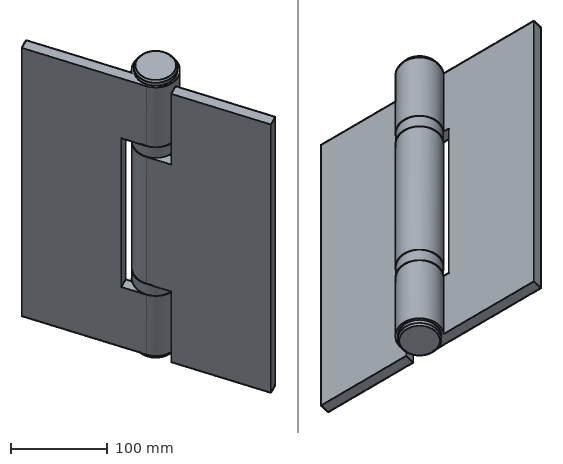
import cadquery as cq

hinge_width = 280.0
leaf_height = 400.0
leaf_thickness = 12.0
barrel_diameter = 50.0
pin_length = 414.0
pin_diameter = 45.0
pin_chamfer_height = 2.5
pin_chamfer_depth = 1.5
washer_thickness = 16.0
washer_diameter = 49.3
middle_barrel_height = 189.0
side_gap = 3.0

barrel_radius = barrel_diameter / 2
notch_edge = barrel_radius + side_gap
leaf_front = -barrel_radius
washer_center = (middle_barrel_height + washer_thickness) / 2
notch_height = middle_barrel_height + 2 * washer_thickness
outer_barrel_height = (leaf_height - notch_height) / 2
outer_barrel_center = (notch_height + outer_barrel_height) / 2


def cylinder(diameter, height, center_z):
    """Cylinder on the pin axis."""
    return cq.Workplane("XY").cylinder(height, diameter / 2).translate((0, 0, center_z))


def plate(x_start, x_end, height, center_z):
    """Flat piece of leaf lying against the front of the barrels."""
    return (
        cq.Workplane("XY")
        .box(x_end - x_start, leaf_thickness, height, centered=(False, False, True))
        .translate((x_start, leaf_front, center_z))
    )


def knuckle(side, height, center_z):
    """Barrel and the tangent plate that joins it to the leaf on side -1 (left) or +1 (right)."""
    x_start, x_end = sorted((0, side * notch_edge))
    tangent_plate = plate(x_start, x_end, height, center_z)
    return cylinder(barrel_diameter, height, center_z).union(tangent_plate)


def make_left_leaf():
    """Leaf with one knuckle at each end of the pin."""
    leaf = plate(-hinge_width / 2, -notch_edge, leaf_height, 0)
    for end in (-1, 1):
        leaf = leaf.union(knuckle(-1, outer_barrel_height, end * outer_barrel_center))
    return leaf.cut(cylinder(pin_diameter, leaf_height, 0))


def make_right_leaf():
    """Leaf with a single knuckle in the middle."""
    leaf = plate(notch_edge, hinge_width / 2, leaf_height, 0)
    leaf = leaf.union(knuckle(1, middle_barrel_height, 0))
    return leaf.cut(cylinder(pin_diameter, leaf_height, 0))


def make_pin():
    """Straight pin with chamfered ends."""
    radius = pin_diameter / 2
    end_radius = radius - pin_chamfer_depth
    half_length = pin_length / 2
    shoulder = half_length - pin_chamfer_height
    half_section = [
        (0, -half_length),
        (end_radius, -half_length),
        (radius, -shoulder),
        (radius, shoulder),
        (end_radius, half_length),
        (0, half_length),
    ]
    return cq.Workplane("XZ").polyline(half_section).close().revolve(360, (0, 0, 0), (0, 1, 0))


def make_washer(center_z):
    """Spacer ring between two neighbouring knuckles."""
    ring = cylinder(washer_diameter, washer_thickness, center_z)
    return ring.cut(cylinder(pin_diameter, washer_thickness, center_z))


left_leaf = make_left_leaf()
right_leaf = make_right_leaf()
pin = make_pin()
washers = [make_washer(end * washer_center).val() for end in (-1, 1)]

result = cq.Compound.makeCompound([left_leaf.val(), right_leaf.val(), pin.val(), *washers])